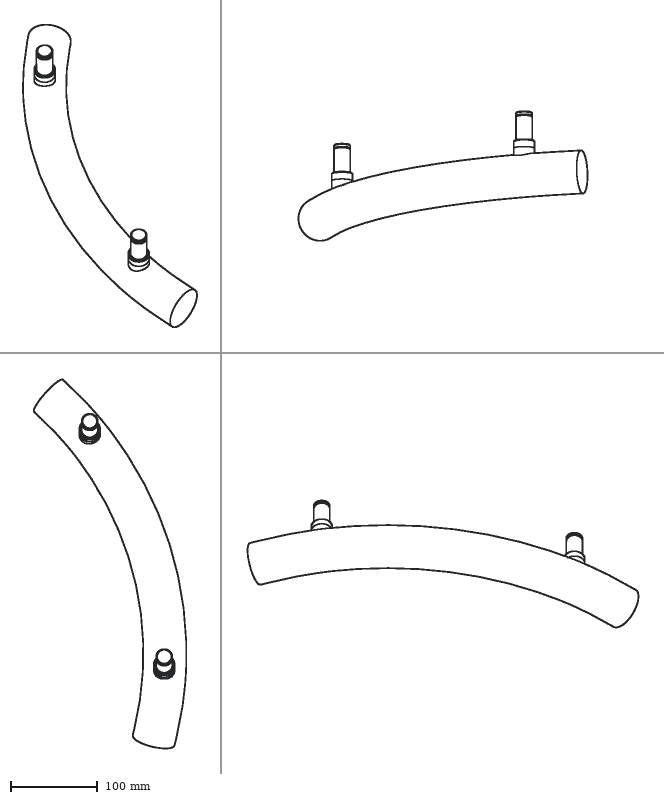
import cadquery as cq
import math

rail_radius = 50.0 / 2
bend_radius = 424.8
bend_angle = 60.0
cap_length = 10.0
cap_fillet = 2.15

fitting_end_angle = 9.6
fitting_angles = (fitting_end_angle, bend_angle - fitting_end_angle)
collar_radius = 12.2
stub_top = 32.0

overall_height = 99.2
collar_height = 9.0
collar_chamfer = 1.0
pin_radius = 9.5
pin_height = overall_height - rail_radius - stub_top - collar_height
pin_chamfer = 1.0
groove_depth = 0.5
groove_width = 1.0
groove_offset = 4.0


def bend_point(angle, height=0):
    """Point over the rail axis, at an angle along the bend from its +X end."""
    turn = math.radians(angle)
    return (-bend_radius * math.sin(turn), bend_radius * (1 - math.cos(turn)), height)


def make_bend():
    """Round bar revolved about the vertical axis of the bend."""
    section = cq.Workplane("YZ").circle(rail_radius)
    return section.revolve(bend_angle, (bend_radius, 4, 0), (bend_radius, -4, 0))


def make_cap():
    """Straight end of the bar at the far end of the bend, with a rounded rim."""
    turn = math.radians(bend_angle)
    direction = (-math.cos(turn), math.sin(turn), 0)
    plane = cq.Plane(origin=bend_point(bend_angle), xDir=(0, 0, 1), normal=direction)
    cap = cq.Workplane(plane).circle(rail_radius).extrude(cap_length)
    end_face = cq.selectors.DirectionMinMaxSelector(plane.zDir, True)
    return cap.faces(end_face).edges().fillet(cap_fillet)


def make_rail():
    """Bend, cap and the stubs that rise from the rail axis."""
    rail = make_bend().union(make_cap())
    for angle in fitting_angles:
        stub = cq.Workplane("XY", origin=bend_point(angle)).circle(collar_radius).extrude(stub_top)
        rail = rail.union(stub)
    return rail


def make_fitting(angle):
    """Chamfered collar standing on a stub, with a chamfered and grooved pin on top."""
    base = cq.Workplane("XY", origin=bend_point(angle, stub_top))
    collar = base.circle(collar_radius).extrude(collar_height)
    collar = collar.faces(">Z").chamfer(collar_chamfer)

    pin = base.workplane(offset=collar_height).circle(pin_radius).extrude(pin_height)
    pin = pin.faces(">Z").chamfer(pin_chamfer)

    groove_bottom = collar_height + pin_height - groove_offset - groove_width
    groove_ring = base.workplane(offset=groove_bottom).circle(pin_radius).circle(pin_radius - groove_depth)
    return collar.union(pin).cut(groove_ring.extrude(groove_width))


rail = make_rail().solids()
fittings = [make_fitting(angle).solids() for angle in fitting_angles]

result = cq.Compound.makeCompound([rail.val(), *[fitting.val() for fitting in fittings]])